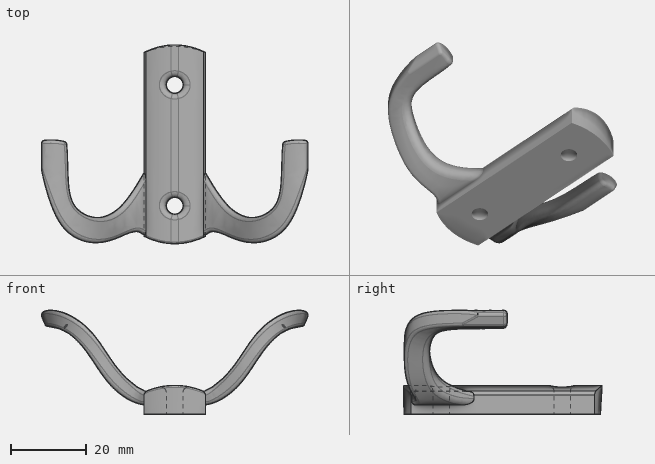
import cadquery as cq

plate_half_width = 8.2
plate_height = 7.7
corner_y = 24.3
tip_y = 26.3
back_lean = 0.4
front_lean = 0.2
ridge_half_width = 1.0
front_rounding = 0.5
crown_mid_x = 4.4
crown_mid_z = 7.2
shoulder_x = 7.6
shoulder_z = 6.15
bevel_z = 5.15
margin = 0.7

hole_radius = 2.2
hole_rounding = 1.55
hole_centres = [(0, 15.7), (0, -16.2)]

root_x = 6.35
hook_reach = 35.4
hook_top = 27.5
hook_tip_y = 1.2
tip_corner_y = 0.6
tip_inner_x = 28.65
tip_outer_x = 36.7
edge_rounding = 0.9
inside_edges = [
    (1.8, (19.95, -12.85, 12.85)),
    (1.05, (19.7, -12.8, 17.9)),
]

upper_curve = [(root_x, 5.65), (10.0, 7.35), (15.8, 13.05), (21.4, 21.0), (27.8, 26.25), (31.95, hook_top),
               (34.35, 27.3), (hook_reach, 26.4)]
lower_curve = [(34.1, 23.3), (28.1, 21.45), (22.7, 15.7), (17.4, 8.25), (12.1, 3.9), (root_x, 2.3)]

outer_curve = [(root_x, -24.7), (8.3, -23.85), (9.45, -23.15), (12.0, -23.4), (15.2, -24.75), (21.3, -26.0),
               (27.9, -23.5), (32.7, -15.8), (35.2, -6.9), (tip_outer_x, tip_corner_y)]
inner_curve = [(tip_inner_x, tip_corner_y), (28.1, -10.2), (25.8, -17.0), (19.95, -19.3),
               (15.2, -17.2), (12.35, -14.1), (8.6, -8.3), (root_x, -4.2)]


def bowed_outline(back_setback, front_setback):
    """Plan outline of the plate: straight sides and bowed ends."""
    return (
        cq.Workplane("XY")
        .moveTo(-plate_half_width, -corner_y)
        .threePointArc((0, front_setback - tip_y), (plate_half_width, -corner_y))
        .lineTo(plate_half_width, corner_y)
        .threePointArc((0, tip_y - back_setback), (-plate_half_width, corner_y))
        .close()
    )


def make_plate():
    """Block with leaning bowed ends, trimmed to the crowned and bevelled cross-section."""
    bottom = bowed_outline(back_lean, front_lean).val()
    top = bowed_outline(0, 0).val().translate(cq.Vector(0, 0, plate_height))
    block = cq.Workplane(cq.Solid.makeLoft([bottom, top], True))
    section = (
        cq.Workplane("XZ", origin=(0, tip_y, 0))
        .moveTo(-plate_half_width, 0)
        .lineTo(plate_half_width, 0)
        .lineTo(plate_half_width, bevel_z)
        .lineTo(shoulder_x, shoulder_z)
        .threePointArc((crown_mid_x, crown_mid_z), (ridge_half_width, plate_height))
        .lineTo(-ridge_half_width, plate_height)
        .threePointArc((-crown_mid_x, crown_mid_z), (-shoulder_x, shoulder_z))
        .lineTo(-plate_half_width, bevel_z)
        .close()
        .extrude(2 * tip_y)
    )
    plate = block.intersect(section)
    front_top_edges = cq.selectors.BoxSelector(
        (-plate_half_width, -tip_y - margin, shoulder_z),
        (plate_half_width, -corner_y - margin, plate_height + margin),
    )
    return plate.edges(front_top_edges).fillet(front_rounding)


def drill_screw_holes(body):
    """Cut the through holes and round over their upper rims."""
    drills = cq.Workplane("XY").pushPoints(hole_centres).circle(hole_radius).extrude(plate_height)
    body = body.cut(drills)
    rim_reach = 2 * hole_radius
    for centre_x, centre_y in hole_centres:
        rim_zone = cq.selectors.BoxSelector(
            (centre_x - rim_reach, centre_y - rim_reach, shoulder_z),
            (centre_x + rim_reach, centre_y + rim_reach, plate_height + margin),
        )
        body = body.edges(rim_zone).edges("not #Z").fillet(hole_rounding)
    return body


def make_hook():
    """Right-hand hook: an S-shaped band trimmed to a J-shaped plan."""
    band = (
        cq.Workplane("XZ", origin=(0, tip_y, 0))
        .moveTo(*upper_curve[0])
        .spline(upper_curve[1:], includeCurrent=True)
        .lineTo(*lower_curve[0])
        .spline(lower_curve[1:], includeCurrent=True)
        .close()
        .extrude(2 * tip_y)
    )
    tip_mid_x = (tip_inner_x + hook_reach) / 2
    plan = (
        cq.Workplane("XY")
        .moveTo(*outer_curve[0])
        .spline(outer_curve[1:], includeCurrent=True)
        .threePointArc((tip_mid_x, hook_tip_y), inner_curve[0])
        .spline(inner_curve[1:], includeCurrent=True)
        .close()
        .extrude(hook_top + margin)
    )
    hook = band.intersect(plan)
    for rounding, centroid in inside_edges:
        hook = hook.edges(cq.selectors.NearestToPointSelector(centroid)).fillet(rounding)
    return hook.edges("not(<X)").fillet(edge_rounding)


plate = drill_screw_holes(make_plate())
hook = make_hook()
result = plate.union(hook).union(hook.mirror("YZ"))